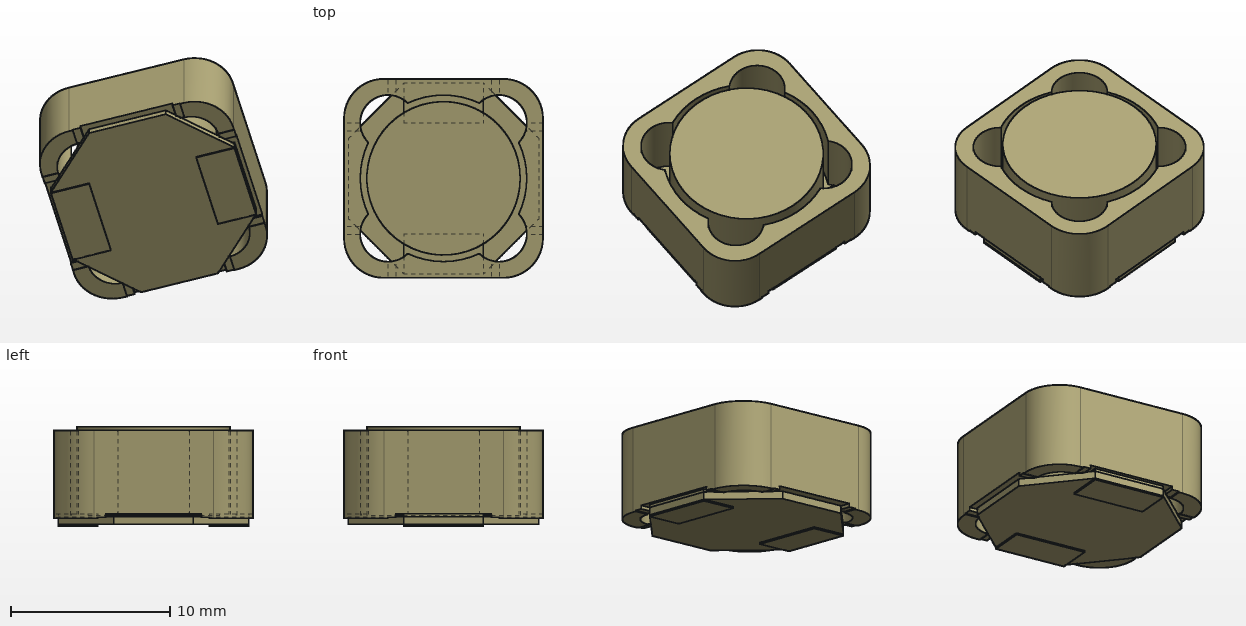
import cadquery as cq

HOUSING_WIDTH = 12.5
HOUSING_CORNER_RADIUS = 2.5
HOUSING_BOTTOM = 0.49
HOUSING_TOP = 6.0
BORE_RADIUS = 5.22
CORNER_BORE_RADIUS = 1.75
CORNER_BORE_OFFSET = BORE_RADIUS - CORNER_BORE_RADIUS

WIDE_NOTCH_WIDTH = 7.0
WIDE_NOTCH_TOP = 0.55
DEEP_NOTCH_WIDTH = 6.0
DEEP_NOTCH_TOP = 0.78

CORE_RADIUS = 4.81
CORE_BOTTOM = 0.69
CORE_TOP = 6.24

PLATE_WIDTH = 5.0
PLATE_LENGTH = 2.5
PAD_THICKNESS = 0.1
BASE_WIDTH = 11.98
BASE_CHAMFER = (BASE_WIDTH - PLATE_WIDTH) / 2
BASE_BOTTOM = PAD_THICKNESS
BASE_TOP = 0.59
PLATE_CENTER_Y = (BASE_WIDTH - PLATE_LENGTH) / 2


def box_between(size_x, size_y, bottom, top):
    """A box centred on the Z axis that reaches from one height to another."""
    return cq.Workplane("XY").workplane(offset=bottom).rect(size_x, size_y).extrude(top - bottom)


def make_base():
    block = box_between(BASE_WIDTH, BASE_WIDTH, BASE_BOTTOM, BASE_TOP)
    return block.edges("|Z").chamfer(BASE_CHAMFER)


def make_plate(side, bottom, top):
    """A terminal plate at the -Y (side = -1) or +Y (side = 1) end of the base."""
    plate = box_between(PLATE_WIDTH, PLATE_LENGTH, bottom, top)
    return plate.translate((0, side * PLATE_CENTER_Y, 0))


def make_core(upper_plates):
    core = cq.Workplane("XY").workplane(offset=CORE_BOTTOM).circle(CORE_RADIUS)
    core = core.extrude(CORE_TOP - CORE_BOTTOM)
    for plate in upper_plates:
        core = core.cut(plate)
    return core


def cut_bores(housing):
    """The main bore and the four corner bores, all from top to bottom."""
    housing = housing.faces(">Z").workplane().hole(2 * BORE_RADIUS)
    corner_spacing = 2 * CORNER_BORE_OFFSET
    corners = cq.Workplane("XY").workplane(offset=HOUSING_BOTTOM)
    corners = corners.rect(corner_spacing, corner_spacing, forConstruction=True).vertices()
    return housing.cut(corners.circle(CORNER_BORE_RADIUS).extrude(HOUSING_TOP - HOUSING_BOTTOM))


def cut_notches(housing):
    """The stepped notches, cut right across the housing in both directions."""
    for width, top in ((WIDE_NOTCH_WIDTH, WIDE_NOTCH_TOP), (DEEP_NOTCH_WIDTH, DEEP_NOTCH_TOP)):
        housing = housing.cut(box_between(width, HOUSING_WIDTH, HOUSING_BOTTOM, top))
        housing = housing.cut(box_between(HOUSING_WIDTH, width, HOUSING_BOTTOM, top))
    return housing


def make_housing(base):
    housing = box_between(HOUSING_WIDTH, HOUSING_WIDTH, HOUSING_BOTTOM, HOUSING_TOP)
    housing = housing.edges("|Z").fillet(HOUSING_CORNER_RADIUS)
    housing = cut_bores(housing)
    housing = cut_notches(housing)
    return housing.cut(base)


base = make_base()
ends = (-1, 1)
solder_pads = [make_plate(side, 0, BASE_BOTTOM) for side in ends]
upper_plates = [make_plate(side, BASE_TOP, DEEP_NOTCH_TOP) for side in ends]
core = make_core(upper_plates)
housing = make_housing(base)

bodies = [housing, core, base, *solder_pads, *upper_plates]
result = cq.Compound.makeCompound([body.solids().val() for body in bodies])